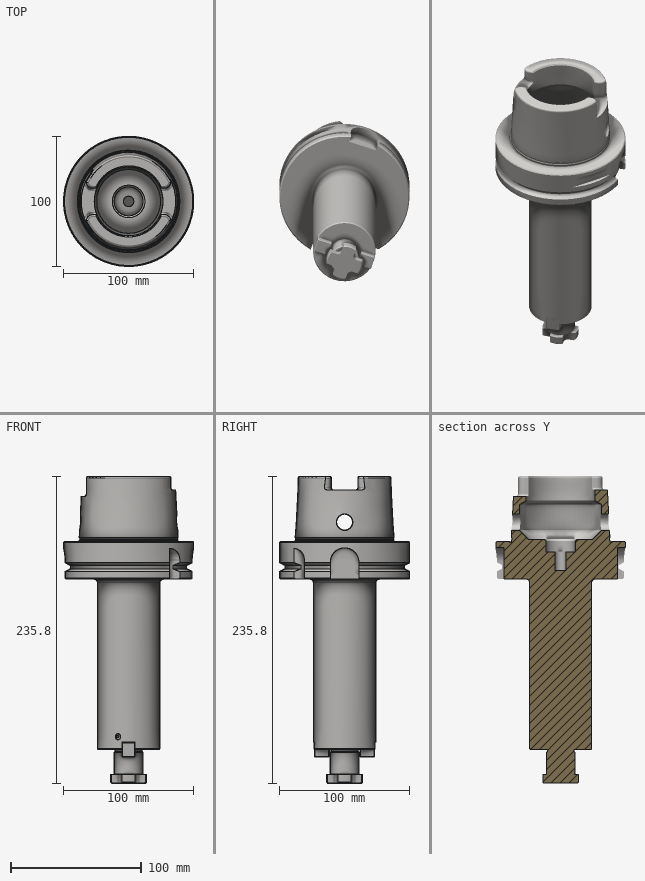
import cadquery as cq
import math


TAPER_LENGTH = 50.0
TAPER_BASE_RADIUS = 38.2
TAPER_TOP_RADIUS = 35.6
TAPER_RIM_FILLET = 1.5
RELIEF_TOP = 3.0
RELIEF_BOTTOM = 1.0
RELIEF_DEPTH = 0.5
FACE_RECESS_RADIUS = 39.5
FACE_RECESS_DEPTH = 0.5

BORE_RADIUS = 26.5
BORE_RIM_CHAMFER = 1.0
CLAMP_EDGE_DEPTH = 18.9
CLAMP_RADIUS = 31.5
CLAMP_ANGLE = 30
BORE_DEPTH = 48.4
BORE_FLOOR_RADIUS = 24.5
PIT_RADIUS = 11.0
PIT_CHAMFER = 1.5
PIT_DEPTH = 9.5
CENTER_HOLE_RADIUS = 4.0
CENTER_HOLE_DEPTH = 14.2
CROSS_HOLE_DIAMETER = 12.3
CROSS_HOLE_HEIGHT = 14.9

DRIVE_SLOT_WIDTH = 20.3
DRIVE_SLOT_DEPTH_LEFT = 15.3
DRIVE_SLOT_DEPTH_RIGHT = 10.5
DRIVE_SLOT_FLOOR_FILLET = 1.7
LUG_CORNER_RADIUS = 5.2
LUG_CORNER_X = 27.4

FLANGE_RADIUS = 50.0
FLANGE_THICKNESS = 29.0
FLANGE_TOP_CHAMFER = 0.7
FLANGE_BOTTOM_CHAMFER = 1.0
GROOVE_TOP = -16.3
GROOVE_BOTTOM = -23.1
GROOVE_RADIUS = 46.0
GROOVE_SIDE_DROP = 2.1

FLANGE_SLOT_WIDTH = 22.0
FLANGE_SLOT_FLOOR = 44.0
FLANGE_SLOT_TOP = -5.0

NOTCH_WIDTH = 18.0
NOTCH_FLOOR = 31.6
NOTCH_CENTER_Y = -40.0
NOTCH_TOP = -5.2

FLAT_DISTANCE = 47.2
FLAT_TOP = -3.8
FLAT_BOTTOM = -12.3
FLAT_ANGLE = 135

SHANK_RADIUS = 24.0
SHOULDER_Z = -160.0
SHANK_FILLET = 2.5
SHANK_CHAMFER = 0.7
SPIGOT_RADIUS = 11.0
SPIGOT_LENGTH = 19.0
SPIGOT_CHAMFER = 0.5
NECK_RADIUS = 10.5
NECK_LENGTH = 1.5

HEAD_RADIUS = 14.0
HEAD_HEIGHT = 6.8
HEAD_ARM_WIDTH = 10.0
HEAD_ARM_FILLET = 3.0
HEAD_CHAMFER = 1.0

KEY_WIDTH = 10.1
KEY_HEIGHT = 11.3
KEY_INNER_RADIUS = 11.8
KEY_OUTER_RADIUS = 23.1
KEY_CHAMFER = 0.5

SIDE_HOLE_X = -8.5
SIDE_HOLE_RISE = 10.0
SIDE_HOLE_DIAMETER = 2.0
SIDE_HOLE_SINK_DIAMETER = 4.7
SIDE_HOLE_DEPTH = 4.7

FLANGE_BOTTOM_Z = -FLANGE_THICKNESS
SPIGOT_END_Z = SHOULDER_Z - SPIGOT_LENGTH
HALF_TURNS = (0, 180)
CLEARANCE = 23.5


def turned_blank():
    """Solid of revolution from the end of the taper down to the end of the spigot."""
    taper_slope = (TAPER_BASE_RADIUS - TAPER_TOP_RADIUS) / TAPER_LENGTH
    relief_edge_radius = TAPER_BASE_RADIUS - taper_slope * RELIEF_TOP
    relief_radius = relief_edge_radius - RELIEF_DEPTH
    fillet_diagonal = SHANK_FILLET * (1 - math.sqrt(0.5))
    return (
        cq.Workplane("XZ")
        .moveTo(0, TAPER_LENGTH)
        .lineTo(TAPER_TOP_RADIUS, TAPER_LENGTH)
        .lineTo(relief_edge_radius, RELIEF_TOP)
        .lineTo(relief_radius, RELIEF_TOP - RELIEF_DEPTH)
        .lineTo(relief_radius, RELIEF_BOTTOM + RELIEF_DEPTH)
        .lineTo(relief_edge_radius, RELIEF_BOTTOM)
        .lineTo(relief_edge_radius, -FACE_RECESS_DEPTH)
        .lineTo(FACE_RECESS_RADIUS - FACE_RECESS_DEPTH, -FACE_RECESS_DEPTH)
        .lineTo(FACE_RECESS_RADIUS, 0)
        .lineTo(FLANGE_RADIUS - FLANGE_TOP_CHAMFER, 0)
        .lineTo(FLANGE_RADIUS, -FLANGE_TOP_CHAMFER)
        .lineTo(FLANGE_RADIUS, GROOVE_TOP)
        .lineTo(GROOVE_RADIUS, GROOVE_TOP - GROOVE_SIDE_DROP)
        .lineTo(GROOVE_RADIUS, GROOVE_BOTTOM + GROOVE_SIDE_DROP)
        .lineTo(FLANGE_RADIUS, GROOVE_BOTTOM)
        .lineTo(FLANGE_RADIUS, FLANGE_BOTTOM_Z + FLANGE_BOTTOM_CHAMFER)
        .lineTo(FLANGE_RADIUS - FLANGE_BOTTOM_CHAMFER, FLANGE_BOTTOM_Z)
        .lineTo(SHANK_RADIUS + SHANK_FILLET, FLANGE_BOTTOM_Z)
        .threePointArc(
            (SHANK_RADIUS + fillet_diagonal, FLANGE_BOTTOM_Z - fillet_diagonal),
            (SHANK_RADIUS, FLANGE_BOTTOM_Z - SHANK_FILLET),
        )
        .lineTo(SHANK_RADIUS, SHOULDER_Z + SHANK_CHAMFER)
        .lineTo(SHANK_RADIUS - SHANK_CHAMFER, SHOULDER_Z)
        .lineTo(NECK_RADIUS, SHOULDER_Z)
        .lineTo(NECK_RADIUS, SHOULDER_Z - NECK_LENGTH)
        .lineTo(SPIGOT_RADIUS, SHOULDER_Z - NECK_LENGTH - (SPIGOT_RADIUS - NECK_RADIUS))
        .lineTo(SPIGOT_RADIUS, SPIGOT_END_Z + SPIGOT_CHAMFER)
        .lineTo(SPIGOT_RADIUS - SPIGOT_CHAMFER, SPIGOT_END_Z)
        .lineTo(0, SPIGOT_END_Z)
        .close()
        .revolve(360, (0, 0), (0, 1))
    )


def drive_slot(depth):
    """Cutter for the +X drive slot, widening outside the rounded lug corners and at the rim."""
    half_width = DRIVE_SLOT_WIDTH / 2
    corner_y = half_width + LUG_CORNER_RADIUS
    shoulder_x = LUG_CORNER_X + LUG_CORNER_RADIUS
    inner_x = BORE_RADIUS / 2
    outer_x = shoulder_x + CLEARANCE
    side_y = corner_y + CLEARANCE
    floor_z = TAPER_LENGTH - depth

    def along_wall(edge):
        """True for the edges beside the lugs, false for those on the open outer boundary."""
        return inner_x < edge.Center().x < outer_x and abs(edge.Center().y) < side_y

    slot = (
        cq.Workplane("XY")
        .workplane(offset=floor_z)
        .moveTo(inner_x, half_width)
        .lineTo(LUG_CORNER_X, half_width)
        .radiusArc((shoulder_x, corner_y), -LUG_CORNER_RADIUS)
        .lineTo(shoulder_x, side_y)
        .lineTo(outer_x, side_y)
        .lineTo(outer_x, -side_y)
        .lineTo(shoulder_x, -side_y)
        .lineTo(shoulder_x, -corner_y)
        .radiusArc((LUG_CORNER_X, -half_width), -LUG_CORNER_RADIUS)
        .lineTo(inner_x, -half_width)
        .close()
        .extrude(depth)
    )
    block = (
        cq.Workplane("XY")
        .box(outer_x - inner_x, 2 * side_y, depth, centered=(False, True, False))
        .translate((inner_x, 0, floor_z))
    )
    lugs = block.cut(slot).faces(">Z").edges().filter(along_wall).fillet(TAPER_RIM_FILLET)
    floor_rounded = slot.faces("<Z").edges().filter(along_wall).fillet(DRIVE_SLOT_FLOOR_FILLET)
    rim_cut = block.cut(lugs).intersect(block.translate((0, 0, depth / 2)))
    return floor_rounded.union(rim_cut)


def bore():
    """Bore with a clamping undercut, a bevelled floor edge and a stepped pit in the floor."""
    clamp_edge_z = TAPER_LENGTH - CLAMP_EDGE_DEPTH
    clamp_drop = (CLAMP_RADIUS - BORE_RADIUS) * math.tan(math.radians(CLAMP_ANGLE))
    floor_z = TAPER_LENGTH - BORE_DEPTH
    pit_z = floor_z - PIT_DEPTH
    return (
        cq.Workplane("XZ")
        .moveTo(0, TAPER_LENGTH)
        .lineTo(BORE_RADIUS + BORE_RIM_CHAMFER, TAPER_LENGTH)
        .lineTo(BORE_RADIUS, TAPER_LENGTH - BORE_RIM_CHAMFER)
        .lineTo(BORE_RADIUS, clamp_edge_z)
        .lineTo(CLAMP_RADIUS, clamp_edge_z - clamp_drop)
        .lineTo(CLAMP_RADIUS, floor_z + CLAMP_RADIUS - BORE_FLOOR_RADIUS)
        .lineTo(BORE_FLOOR_RADIUS, floor_z)
        .lineTo(PIT_RADIUS + PIT_CHAMFER, floor_z)
        .lineTo(PIT_RADIUS, floor_z - PIT_CHAMFER)
        .lineTo(PIT_RADIUS, pit_z)
        .lineTo(CENTER_HOLE_RADIUS, pit_z)
        .lineTo(CENTER_HOLE_RADIUS, pit_z - CENTER_HOLE_DEPTH)
        .lineTo(0, pit_z - CENTER_HOLE_DEPTH)
        .close()
        .revolve(360, (0, 0), (0, 1))
    )


def arched_slot(width, floor_x, center_y, top_z):
    """Cutter for a flange slot along +X: round at the top, open at the bottom and outside."""
    radius = width / 2
    spring_z = top_z - radius
    return (
        cq.Workplane("YZ")
        .workplane(offset=floor_x)
        .moveTo(center_y - radius, FLANGE_BOTTOM_Z)
        .lineTo(center_y - radius, spring_z)
        .threePointArc((center_y, top_z), (center_y + radius, spring_z))
        .lineTo(center_y + radius, FLANGE_BOTTOM_Z)
        .close()
        .extrude(FLANGE_RADIUS)
    )


def flange_flat():
    """Cutter for the flat chord pocket in the flange rim, placed toward +X."""
    return (
        cq.Workplane("XY")
        .box(CLEARANCE, 2 * FLANGE_RADIUS, FLAT_TOP - FLAT_BOTTOM, centered=(False, True, False))
        .translate((FLAT_DISTANCE, 0, FLAT_BOTTOM))
    )


def cross_hole():
    """Cutter through both walls of the hollow taper."""
    return (
        cq.Workplane("YZ")
        .center(0, CROSS_HOLE_HEIGHT)
        .circle(CROSS_HOLE_DIAMETER / 2)
        .extrude(TAPER_BASE_RADIUS + CLEARANCE, both=True)
    )


def side_hole():
    """Cutter for the small countersunk blind hole in the -Y side of the shank."""
    surface_y = -math.sqrt(SHANK_RADIUS**2 - SIDE_HOLE_X**2)
    sink_depth = (SIDE_HOLE_SINK_DIAMETER - SIDE_HOLE_DIAMETER) / 2
    mouth = cq.Workplane("XZ", origin=(SIDE_HOLE_X, surface_y, SHOULDER_Z + SIDE_HOLE_RISE))
    drill = mouth.circle(SIDE_HOLE_DIAMETER / 2).extrude(-SIDE_HOLE_DEPTH)
    sink = mouth.circle(SIDE_HOLE_SINK_DIAMETER / 2).extrude(CLEARANCE)
    cone = (
        mouth.circle(SIDE_HOLE_SINK_DIAMETER / 2)
        .workplane(offset=-sink_depth)
        .circle(SIDE_HOLE_DIAMETER / 2)
        .loft()
    )
    return drill.union(cone).union(sink)


def retaining_head():
    """Four-armed head, chamfered around its lower end."""
    top = cq.Workplane("XY").workplane(offset=SPIGOT_END_Z)
    arm_length = 2 * (HEAD_RADIUS + CLEARANCE)
    arm_x = top.rect(arm_length, HEAD_ARM_WIDTH).extrude(-HEAD_HEIGHT)
    arm_y = top.rect(HEAD_ARM_WIDTH, arm_length).extrude(-HEAD_HEIGHT)

    def between_arms(edge):
        """True for the four upright edges where the arms meet."""
        return math.hypot(edge.Center().x, edge.Center().y) < HEAD_RADIUS

    cross = arm_x.union(arm_y).edges("|Z").filter(between_arms).fillet(HEAD_ARM_FILLET)
    disc = (
        top.circle(HEAD_RADIUS)
        .extrude(-HEAD_HEIGHT)
        .faces("<Z")
        .chamfer(HEAD_CHAMFER)
    )
    return cross.intersect(disc)


def driving_key():
    """Chamfered block of the -Y driving key, half sunk above the shoulder."""
    length = KEY_OUTER_RADIUS - KEY_INNER_RADIUS
    return (
        cq.Workplane("XY")
        .box(KEY_WIDTH, length, KEY_HEIGHT)
        .edges()
        .chamfer(KEY_CHAMFER)
        .translate((0, -KEY_INNER_RADIUS - length / 2, SHOULDER_Z))
    )


def key_slot():
    """Slot for the -Y driving key, open at the side and at the shoulder."""
    return (
        cq.Workplane("XY")
        .box(KEY_WIDTH, CLEARANCE, KEY_HEIGHT / 2, centered=(True, False, False))
        .translate((0, -KEY_INNER_RADIUS - CLEARANCE, SHOULDER_Z))
    )


def turned(shape, angle):
    """Copy of a shape rotated about the tool axis."""
    return shape.rotate((0, 0, 0), (0, 0, 1), angle)


def make_holder():
    """Holder in one piece with its spigot and retaining head."""
    body = turned_blank()
    body = body.faces(">Z").edges().fillet(TAPER_RIM_FILLET)
    body = body.cut(drive_slot(DRIVE_SLOT_DEPTH_RIGHT))
    body = body.cut(turned(drive_slot(DRIVE_SLOT_DEPTH_LEFT), 180))
    body = body.cut(bore()).cut(cross_hole())
    flange_slot = arched_slot(FLANGE_SLOT_WIDTH, FLANGE_SLOT_FLOOR, 0, FLANGE_SLOT_TOP)
    for angle in HALF_TURNS:
        body = body.cut(turned(flange_slot, angle))
        body = body.cut(turned(key_slot(), angle))
    body = body.cut(arched_slot(NOTCH_WIDTH, NOTCH_FLOOR, NOTCH_CENTER_Y, NOTCH_TOP))
    body = body.cut(turned(flange_flat(), FLAT_ANGLE)).cut(side_hole())
    return body.union(retaining_head())


holder = make_holder()
keys = [turned(driving_key(), angle) for angle in HALF_TURNS]
result = cq.Compound.makeCompound([holder.val(), *[key.val() for key in keys]])